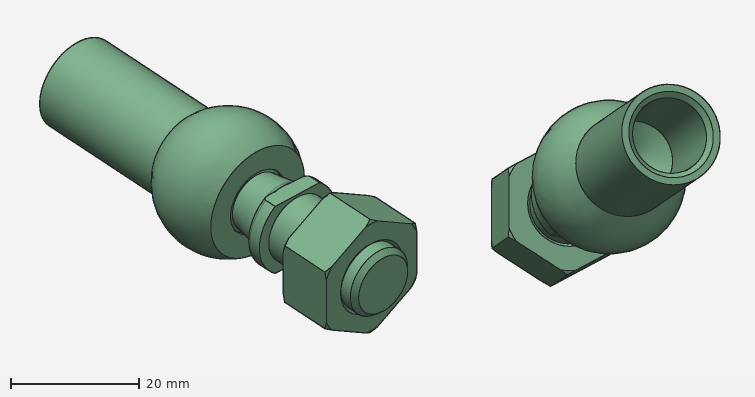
import cadquery as cq
import math

TOTAL_LENGTH = 71.0

TUBE_DIAMETER = 16.0
HEAD_DIAMETER = 24.0
HEAD_CENTER_X = 34.9
HEAD_FACE_X = 41.8
BORE_DIAMETER = 12.0
BORE_DEPTH = 20.0
BORE_TIP_ANGLE = 118.0
BORE_CHAMFER = 0.85
BALL_DIAMETER = 16.8
MOUTH_DIAMETER = 11.35

NECK_FACE_DIAMETER = 10.3
NECK_END_DIAMETER = 12.0
NECK_END_X = 46.9
COLLAR_DIAMETER = 16.0
COLLAR_FLATS = 13.0
COLLAR_FACE_X = 48.15
COLLAR_END_X = 51.05
COLLAR_EDGE_RADIUS = 0.7
SHANK_DIAMETER = 12.0
SHANK_CHAMFER_LENGTH = 1.0
SHANK_CHAMFER_DEPTH = 0.85

NUT_ACROSS_FLATS = 19.0
NUT_START_X = 58.3
NUT_HEIGHT = 10.0
NUT_FACE_DIAMETER = 20.7
NUT_CHAMFER_LENGTH = 0.35
NUT_HOLE_CHAMFER = 0.5


def x_cylinder(diameter, start, end):
    """Cylinder on the X axis between two X positions."""
    disc = cq.Workplane("YZ", origin=(start, 0, 0)).circle(diameter / 2)
    return disc.extrude(end - start)


def x_revolve(outline):
    """Solid of revolution about X from a closed outline in the XY plane."""
    return outline.close().revolve(360, (0, 0, 0), (1, 0, 0))


def head_sphere(diameter):
    """Sphere centred on the joint's pivot point."""
    return cq.Workplane("XY", origin=(HEAD_CENTER_X, 0, 0)).sphere(diameter / 2)


def make_housing():
    body = head_sphere(HEAD_DIAMETER).intersect(x_cylinder(HEAD_DIAMETER, 0, HEAD_FACE_X))
    body = body.union(x_cylinder(TUBE_DIAMETER, 0, HEAD_CENTER_X))

    bore_radius = BORE_DIAMETER / 2
    tip_length = bore_radius / math.tan(math.radians(BORE_TIP_ANGLE / 2))
    bore = x_revolve(
        cq.Workplane("XY")
        .lineTo(0, bore_radius + BORE_CHAMFER)
        .lineTo(BORE_CHAMFER, bore_radius)
        .lineTo(BORE_DEPTH, bore_radius)
        .lineTo(BORE_DEPTH + tip_length, 0)
    )

    mouth = x_cylinder(MOUTH_DIAMETER, HEAD_CENTER_X, HEAD_FACE_X)
    return body.cut(bore).cut(head_sphere(BALL_DIAMETER)).cut(mouth)


def make_stud():
    neck_radius = NECK_END_DIAMETER / 2
    collar_radius = COLLAR_DIAMETER / 2
    shank_radius = SHANK_DIAMETER / 2
    neck_slope = (NECK_END_DIAMETER - NECK_FACE_DIAMETER) / 2 / (NECK_END_X - HEAD_FACE_X)
    neck_root_radius = neck_radius - neck_slope * (NECK_END_X - HEAD_CENTER_X)

    shoulder_radius = collar_radius - COLLAR_EDGE_RADIUS
    edge_end_x = COLLAR_FACE_X + COLLAR_EDGE_RADIUS
    collar = x_revolve(
        cq.Workplane("XY")
        .moveTo(NECK_END_X, 0)
        .lineTo(NECK_END_X, neck_radius)
        .radiusArc((COLLAR_FACE_X, shoulder_radius), -(COLLAR_FACE_X - NECK_END_X))
        .radiusArc((edge_end_x, collar_radius), COLLAR_EDGE_RADIUS)
        .lineTo(COLLAR_END_X, collar_radius)
        .lineTo(COLLAR_END_X, 0)
    )
    flats = cq.Workplane("XY", origin=(COLLAR_FACE_X, 0, 0)).box(
        TOTAL_LENGTH, COLLAR_DIAMETER, COLLAR_FLATS
    )
    collar = collar.intersect(flats)

    neck = x_revolve(
        cq.Workplane("XY")
        .moveTo(HEAD_CENTER_X, 0)
        .lineTo(HEAD_CENTER_X, neck_root_radius)
        .lineTo(NECK_END_X, neck_radius)
        .lineTo(NECK_END_X, 0)
    )
    shank = x_revolve(
        cq.Workplane("XY")
        .moveTo(COLLAR_END_X, 0)
        .lineTo(COLLAR_END_X, shank_radius)
        .lineTo(TOTAL_LENGTH - SHANK_CHAMFER_LENGTH, shank_radius)
        .lineTo(TOTAL_LENGTH, shank_radius - SHANK_CHAMFER_DEPTH)
        .lineTo(TOTAL_LENGTH, 0)
    )
    return head_sphere(BALL_DIAMETER).union(neck).union(collar).union(shank)


def make_nut():
    nut_end_x = NUT_START_X + NUT_HEIGHT
    corner_diameter = NUT_ACROSS_FLATS / math.cos(math.pi / 6)
    hexagon = (
        cq.Workplane("YZ", origin=(NUT_START_X, 0, 0))
        .transformed(rotate=(0, 0, 90))
        .polygon(6, corner_diameter)
        .extrude(NUT_HEIGHT)
    )

    corner_radius = corner_diameter / 2
    face_radius = NUT_FACE_DIAMETER / 2
    envelope = x_revolve(
        cq.Workplane("XY")
        .moveTo(NUT_START_X, 0)
        .lineTo(NUT_START_X, face_radius)
        .lineTo(NUT_START_X + NUT_CHAMFER_LENGTH, corner_radius)
        .lineTo(nut_end_x - NUT_CHAMFER_LENGTH, corner_radius)
        .lineTo(nut_end_x, face_radius)
        .lineTo(nut_end_x, 0)
    )

    hole = x_cylinder(SHANK_DIAMETER, NUT_START_X, nut_end_x)
    nut = hexagon.intersect(envelope).cut(hole)
    hole_rims = nut.edges("%CIRCLE").edges(cq.selectors.RadiusNthSelector(0))
    return hole_rims.chamfer(NUT_HOLE_CHAMFER)


housing = make_housing()
stud = make_stud()
nut = make_nut()

result = cq.Compound.makeCompound([housing.val(), stud.val(), nut.val()])